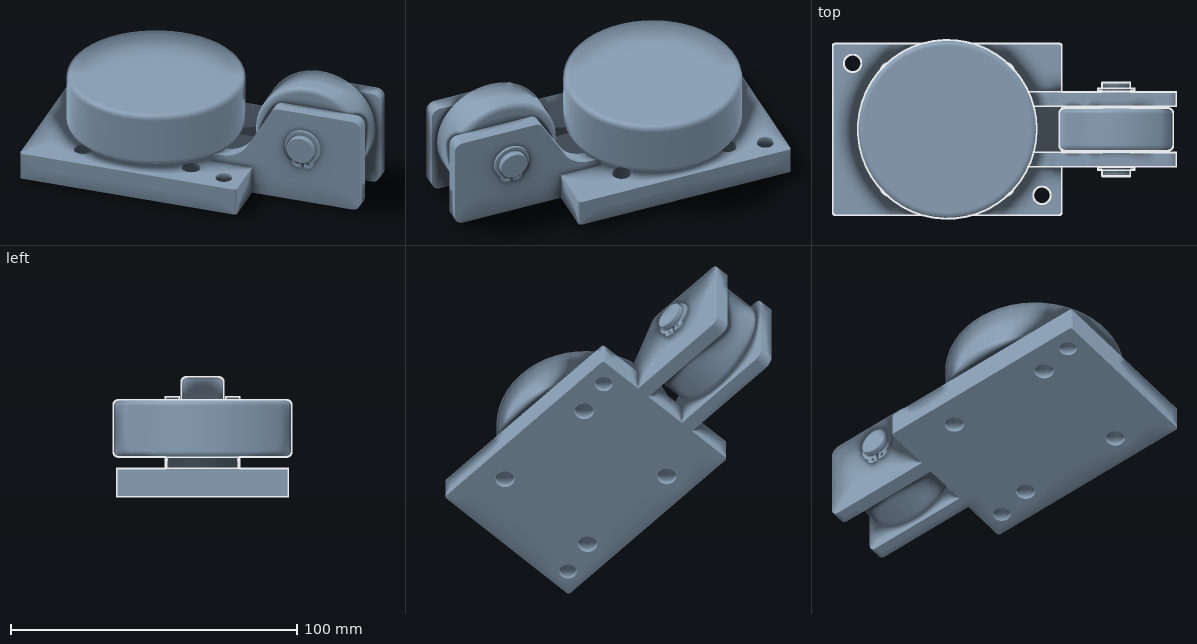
import cadquery as cq
import math

base_length = 80.0
base_width = 60.0
base_thickness = 10.0
base_corner_radius = 1.0

dowel_hole_dia = 6.0
dowel_edge_distance = 7.0
screw_hole_dia = 6.6
screw_spacing = 40.0

large_roller_dia = 62.5
large_roller_width = 20.0
large_stem_dia = 25.0
large_roller_gap = 4.0
roller_edge_radius = 2.0

total_height = 42.0
small_roller_dia = 40.0
small_roller_width = 15.0
axle_end_distance = 21.0

overall_length = 120.0
cheek_height = 35.0
cheek_thickness = 5.0
fork_gap = 16.1
cheek_corner_radius = 3.0
cheek_toe_length = 15.2
cheek_toe_height = 3.0
cheek_slope_degrees = 60.0
cheek_slope_top_distance = 32.0
cheek_hollow_radius = 11.0

axle_dia = 10.0
axle_length = 33.0
axle_chamfer = 0.2
groove_dia = 9.6
ring_outer_dia = 13.0
ring_thickness = 1.0
ring_clearance = 0.2
lug_width = 7.9
lug_reach = 8.0
lug_corner_radius = 2.0
lug_slot_width = 1.2
lug_hole_dia = 1.5
lug_hole_spacing = 4.0
lug_hole_drop = 6.5

fork_end_x = overall_length - base_length / 2
axle_x = fork_end_x - axle_end_distance
axle_z = total_height - small_roller_dia / 2
cheek_outer_y = fork_gap / 2 + cheek_thickness


def cylinder_along_y(diameter, length):
    """Cylinder on the axle line, centred on the XZ plane."""
    return (
        cq.Workplane("XZ", origin=(axle_x, length / 2, axle_z))
        .circle(diameter / 2)
        .extrude(length)
    )


def make_base():
    base = (
        cq.Workplane("XY")
        .rect(base_length, base_width)
        .extrude(base_thickness)
        .edges("|Z")
        .fillet(base_corner_radius)
    )
    dowel_x = base_length / 2 - dowel_edge_distance
    dowel_y = base_width / 2 - dowel_edge_distance
    dowel_holes = (
        cq.Workplane("XY")
        .pushPoints([(-dowel_x, dowel_y), (dowel_x, -dowel_y)])
        .circle(dowel_hole_dia / 2)
        .extrude(base_thickness)
    )
    screw_holes = (
        cq.Workplane("XY")
        .rect(screw_spacing, screw_spacing, forConstruction=True)
        .vertices()
        .circle(screw_hole_dia / 2)
        .extrude(base_thickness)
    )
    return base.cut(dowel_holes).cut(screw_holes)


def make_large_roller():
    stem = (
        cq.Workplane("XY", origin=(0, 0, base_thickness))
        .circle(large_stem_dia / 2)
        .extrude(large_roller_gap)
    )
    roller = (
        cq.Workplane("XY", origin=(0, 0, base_thickness + large_roller_gap))
        .circle(large_roller_dia / 2)
        .extrude(large_roller_width)
        .edges()
        .fillet(roller_edge_radius)
    )
    return stem.union(roller)


def make_small_roller():
    return cylinder_along_y(small_roller_dia, small_roller_width).edges().fillet(roller_edge_radius)


def make_cheek(inner_y):
    """Fork cheek whose lower-Y face lies at inner_y."""
    toe_x = base_length / 2 - cheek_toe_length
    toe_z = base_thickness + cheek_toe_height
    slope = math.radians(cheek_slope_degrees)
    slope_top_x = fork_end_x - cheek_slope_top_distance
    slope_foot_x = slope_top_x - (cheek_height - toe_z) / math.tan(slope)

    hollow_tangent = cheek_hollow_radius * math.tan(slope / 2)
    hollow_start = (slope_foot_x - hollow_tangent, toe_z)
    hollow_middle = (
        hollow_start[0] + cheek_hollow_radius * math.sin(slope / 2),
        toe_z + cheek_hollow_radius * (1 - math.cos(slope / 2)),
    )
    hollow_end = (
        slope_foot_x + hollow_tangent * math.cos(slope),
        toe_z + hollow_tangent * math.sin(slope),
    )
    nose_top = (toe_x + cheek_toe_height, toe_z)
    nose_middle = (
        toe_x + cheek_toe_height * (1 - math.cos(math.pi / 4)),
        base_thickness + cheek_toe_height * math.sin(math.pi / 4),
    )
    cheek = (
        cq.Workplane("XZ", origin=(0, inner_y + cheek_thickness, 0))
        .moveTo(toe_x, 0)
        .lineTo(toe_x, base_thickness)
        .threePointArc(nose_middle, nose_top)
        .lineTo(*hollow_start)
        .threePointArc(hollow_middle, hollow_end)
        .lineTo(slope_top_x, cheek_height)
        .lineTo(fork_end_x, cheek_height)
        .lineTo(fork_end_x, 0)
        .close()
        .extrude(cheek_thickness)
    )
    return cheek.edges("|Y and (>X or >Z)").fillet(cheek_corner_radius)


def make_axle():
    axle = cylinder_along_y(axle_dia, axle_length).edges().chamfer(axle_chamfer)
    for side in (-1, 1):
        groove_y = side * (cheek_outer_y + ring_clearance + ring_thickness / 2)
        groove_tool = cylinder_along_y(ring_outer_dia, ring_thickness).cut(
            cylinder_along_y(groove_dia, ring_thickness)
        )
        axle = axle.cut(groove_tool.translate((0, groove_y, 0)))
    return axle


def make_retaining_ring(side):
    """Open ring seated in the axle groove, with two eyed lugs below the axle."""
    lugs = (
        cq.Workplane("XZ", origin=(axle_x, ring_thickness / 2, axle_z - lug_reach / 2))
        .rect(lug_width, lug_reach)
        .extrude(ring_thickness)
        .edges("|Y and <Z")
        .fillet(lug_corner_radius)
    )
    eyes = (
        cq.Workplane("XZ", origin=(axle_x, ring_thickness / 2, axle_z - lug_hole_drop))
        .pushPoints([(-lug_hole_spacing / 2, 0), (lug_hole_spacing / 2, 0)])
        .circle(lug_hole_dia / 2)
        .extrude(ring_thickness)
    )
    slot = (
        cq.Workplane("XZ", origin=(axle_x, ring_thickness / 2, axle_z - lug_reach / 2))
        .rect(lug_slot_width, lug_reach)
        .extrude(ring_thickness)
    )
    ring = cylinder_along_y(ring_outer_dia, ring_thickness).union(lugs)
    ring = ring.cut(eyes).cut(slot).cut(cylinder_along_y(groove_dia, ring_thickness))
    ring_y = side * (cheek_outer_y + ring_clearance + ring_thickness / 2)
    return ring.translate((0, ring_y, 0))


result = make_base().union(make_large_roller())
result = result.union(make_cheek(fork_gap / 2)).union(make_cheek(-cheek_outer_y))
result = result.union(make_small_roller()).union(make_axle())
for ring_side in (-1, 1):
    result = result.union(make_retaining_ring(ring_side))